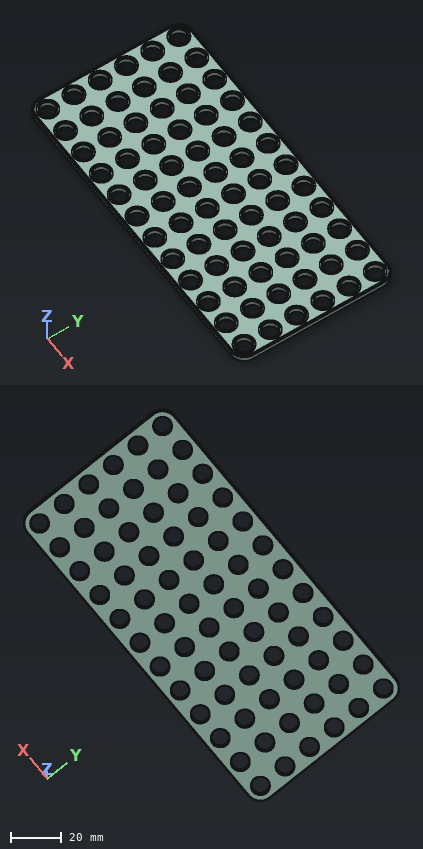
import cadquery as cq

length = 150.0
width = 75.0
thickness = 3.2
edge_chamfer = 0.3

columns = 12
rows = 6
pitch = length / columns
corner_radius = pitch / 2

hole_diameter = 7.0
hole_chamfer = 0.27
collar_diameter = 9.2

border_width = 0.8
field_depth = 0.22


def make_plate():
    """Flat plate with round corners and chamfered top and bottom rims."""
    plate = cq.Workplane("XY").box(length, width, thickness)
    plate = plate.edges("|Z").fillet(corner_radius)
    return plate.faces("<Z or >Z").edges().chamfer(edge_chamfer)


def make_field_cutter():
    """Shallow slab inside the border, with an opening for every collar."""
    floor = thickness / 2 - field_depth
    slab = (
        cq.Workplane("XY")
        .workplane(offset=floor)
        .rect(length - 2 * border_width, width - 2 * border_width)
        .extrude(field_depth)
        .edges("|Z")
        .fillet(corner_radius - border_width)
    )
    collars = (
        cq.Workplane("XY")
        .workplane(offset=floor)
        .rarray(pitch, pitch, columns, rows)
        .circle(collar_diameter / 2)
        .extrude(field_depth)
    )
    return slab.cut(collars)


def make_hole_cutter():
    """Through hole with a chamfered lip at both faces."""
    hole_radius = hole_diameter / 2
    lip_radius = hole_radius + hole_chamfer
    face = thickness / 2
    throat = face - hole_chamfer
    profile = (
        cq.Workplane("XZ")
        .moveTo(0, -face)
        .lineTo(lip_radius, -face)
        .lineTo(hole_radius, -throat)
        .lineTo(hole_radius, throat)
        .lineTo(lip_radius, face)
        .lineTo(0, face)
        .close()
    )
    return profile.revolve(360, (0, 0), (0, 1)).val()


hole_cutter = make_hole_cutter()
hole_cutters = (
    cq.Workplane("XY")
    .rarray(pitch, pitch, columns, rows)
    .eachpoint(lambda place: hole_cutter.moved(place))
)

result = make_plate().cut(make_field_cutter()).cut(hole_cutters)